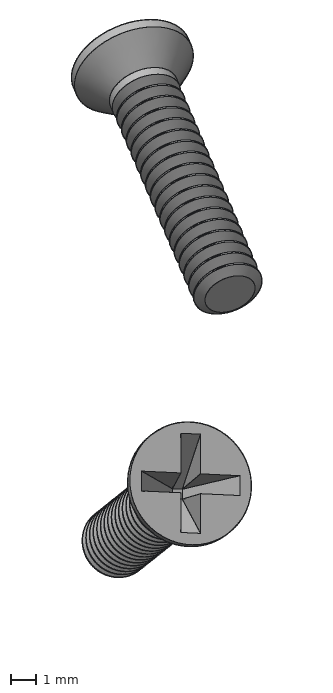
import cadquery as cq

length = 12.7

head_radius = 2.48
rim_thickness = 0.41
head_height = 1.63

shank_radius = 1.42
thread_start = 2.0
thread_depth = 0.38
crest_width = 0.08
crest_count = 17

recess_span = 4.0
recess_width = 0.8
recess_floor = recess_width / 2
recess_depth = 2.25

flank_count = 2 * crest_count + 1
flank_length = (length - thread_start - crest_count * crest_width) / flank_count
pitch = 2 * flank_length + crest_width
root_radius = shank_radius - thread_depth


def screw_body():
    """Head, plain neck and thread revolved from one half outline."""
    outline = (
        cq.Workplane("XY")
        .moveTo(0, 0)
        .lineTo(0, head_radius)
        .lineTo(rim_thickness, head_radius)
        .lineTo(head_height, shank_radius)
        .lineTo(thread_start, shank_radius)
    )
    for index in range(crest_count):
        root = thread_start + index * pitch + flank_length
        crest = root + flank_length
        outline = (
            outline.lineTo(root, root_radius)
            .lineTo(crest, shank_radius)
            .lineTo(crest + crest_width, shank_radius)
        )
    outline = outline.lineTo(length, root_radius).lineTo(length, 0).close()
    return outline.revolve(360, (0, 0, 0), (1, 0, 0))


def recess_arm(span_y, span_z):
    """One bar of the cross, tapering from the head face to the square floor."""
    return (
        cq.Workplane("YZ")
        .rect(span_y, span_z)
        .workplane(offset=recess_depth)
        .rect(recess_floor, recess_floor)
        .loft(ruled=True)
    )


recess = recess_arm(recess_span, recess_width).union(recess_arm(recess_width, recess_span))
result = screw_body().cut(recess)